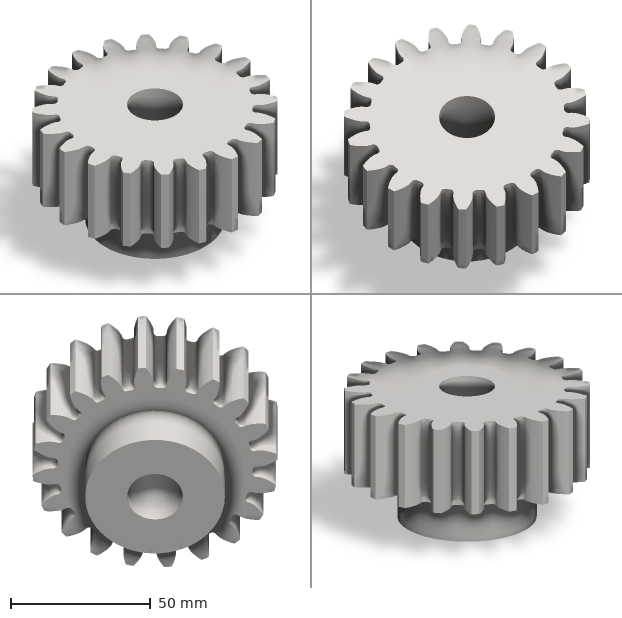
import cadquery as cq
import math

module = 4.0
addendum = module
dedendum = 1.25 * module
root_fillet = 0.38 * module
tooth_count = 20
pressure_angle = math.radians(20)
face_width = 32.0

hub_diameter = 50.0
hub_length = 18.0
bore_diameter = 20.0

pitch_radius = module * tooth_count / 2
tip_radius = pitch_radius + addendum
root_radius = pitch_radius - dedendum
base_radius = pitch_radius * math.cos(pressure_angle)
tooth_pitch = 2 * math.pi / tooth_count


def polar(radius, angle):
    return (radius * math.cos(angle), radius * math.sin(angle))


def involute_angle(radius):
    """Polar angle swept by the base-circle involute on reaching the radius."""
    roll = math.sqrt((radius / base_radius) ** 2 - 1)
    return roll - math.atan(roll)


def tooth_half_angle(radius):
    """Half of the angle a tooth spans at the radius."""
    return tooth_pitch / 4 + involute_angle(pitch_radius) - involute_angle(radius)


def flank_points(center, side):
    """Five points on an involute flank, from the base circle through the pitch circle to the tip."""
    lower_middle = (base_radius + pitch_radius) / 2
    upper_middle = (pitch_radius + tip_radius) / 2
    radii = [base_radius, lower_middle, pitch_radius, upper_middle, tip_radius]
    return [polar(r, center + side * tooth_half_angle(r)) for r in radii]


def add_flank(outline, points):
    """Continue the outline along a flank as two arcs that meet at the pitch circle."""
    first_middle, pitch_point, last_middle, last_end = points[1:]
    outline = outline.threePointArc(first_middle, pitch_point)
    return outline.threePointArc(last_middle, last_end)


def fillet_points(wall_angle, side):
    """Root, middle and wall points of the fillet between the root circle and a radial wall."""
    center_radius = root_radius + root_fillet
    center_offset = math.asin(root_fillet / center_radius)
    center_angle = wall_angle + side * center_offset
    center_x, center_y = polar(center_radius, center_angle)
    middle_direction = center_angle + math.pi + side * (math.pi / 2 - center_offset) / 2
    offset_x, offset_y = polar(root_fillet, middle_direction)
    root_point = polar(root_radius, center_angle)
    middle_point = (center_x + offset_x, center_y + offset_y)
    wall_point = polar(center_radius * math.cos(center_offset), wall_angle)
    return root_point, middle_point, wall_point


def make_gear():
    """Toothed disc with a tooth gap centred on the X axis."""
    wall_half_angle = tooth_half_angle(base_radius)
    first_center = tooth_pitch / 2
    start_point = fillet_points(first_center - wall_half_angle, -1)[0]
    outline = cq.Workplane("XY").moveTo(*start_point)
    for i in range(tooth_count):
        center = first_center + i * tooth_pitch
        next_center = center + tooth_pitch
        rising_flank = flank_points(center, -1)
        falling_flank = flank_points(center, 1)[::-1]
        _, rise_middle, rise_wall = fillet_points(center - wall_half_angle, -1)
        fall_root, fall_middle, fall_wall = fillet_points(center + wall_half_angle, 1)
        next_root, _, _ = fillet_points(next_center - wall_half_angle, -1)
        gap_bottom = polar(root_radius, center + tooth_pitch / 2)

        outline = outline.threePointArc(rise_middle, rise_wall)
        outline = outline.lineTo(*rising_flank[0])
        outline = add_flank(outline, rising_flank)
        outline = outline.threePointArc(polar(tip_radius, center), falling_flank[0])
        outline = add_flank(outline, falling_flank)
        outline = outline.lineTo(*fall_wall)
        outline = outline.threePointArc(fall_middle, fall_root)
        outline = outline.threePointArc(gap_bottom, next_root)
    return outline.close().extrude(face_width)


def make_hub():
    """Plain cylinder below the toothed disc."""
    return cq.Workplane("XY").circle(hub_diameter / 2).extrude(-hub_length)


def make_bore():
    """Cylinder that removes the bore through hub and disc."""
    return (
        cq.Workplane("XY")
        .workplane(offset=-hub_length)
        .circle(bore_diameter / 2)
        .extrude(hub_length + face_width)
    )


result = make_gear().union(make_hub()).cut(make_bore())